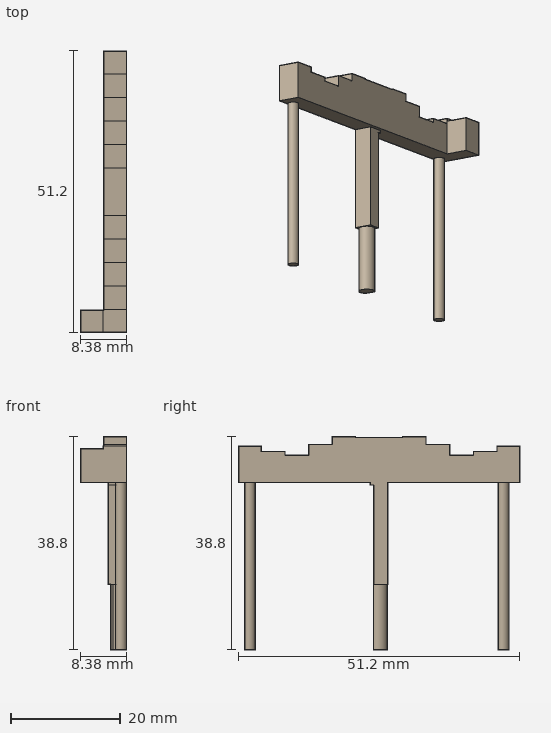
import cadquery as cq
BAR_LENGTH = 51.25
TOTAL_WIDTH = 8.38
TOTAL_HEIGHT = 38.83

BAR_THICKNESS = 4.18
END_LENGTH = 4.18
PITCH_COUNT = 10
STEP_PITCH = (BAR_LENGTH - 2 * END_LENGTH) / PITCH_COUNT
END_HEIGHT = 6.68
SHOULDER_HEIGHT = 5.72
DIP_HEIGHT = 5.0
TIER_HEIGHT = 7.0
PEAK_HEIGHT = 8.38
CREST_HEIGHT = 8.25
SIDE_STEP_HEIGHTS = [SHOULDER_HEIGHT, DIP_HEIGHT, TIER_HEIGHT, PEAK_HEIGHT]
CREST_LENGTH = BAR_LENGTH - 2 * (END_LENGTH + len(SIDE_STEP_HEIGHTS) * STEP_PITCH)
BAR_FRONT_X = TOTAL_WIDTH - BAR_THICKNESS

FOOT_LENGTH = 4.05
FOOT_HEIGHT = 6.2
RISER_THICKNESS = 0.11
RISER_FRONT_X = BAR_FRONT_X - RISER_THICKNESS

TIP_Z = PEAK_HEIGHT - TOTAL_HEIGHT

PIN_DIAMETER = 2.0
PIN_X = TOTAL_WIDTH - PIN_DIAMETER / 2
NEAR_PIN_Y = END_LENGTH / 2
FAR_PIN_INSET = 2.95
FAR_PIN_Y = BAR_LENGTH - FAR_PIN_INSET

POST_SHOULDER_Z = -18.55
POST_WIDTH = 3.38
POST_LENGTH = 2.6
POST_NEAR_Y = 24.63
POST_FRONT_X = TOTAL_WIDTH - POST_WIDTH
LEDGE_LENGTH = 0.63
LEDGE_DEPTH = 0.46
SHANK_RADIUS = 1.47
SHANK_X = TOTAL_WIDTH - SHANK_RADIUS
SHANK_FLAT_OFFSET = 1.1
SHANK_FLAT_OVERHANG = 0.07
SHANK_FLAT_Y = POST_NEAR_Y - SHANK_FLAT_OVERHANG
SHANK_Y = SHANK_FLAT_Y + SHANK_FLAT_OFFSET


def box(x_range, y_range, z_range):
    """Axis-aligned box given as (low, high) limits on each axis."""
    sizes = [high - low for low, high in (x_range, y_range, z_range)]
    corner = (x_range[0], y_range[0], z_range[0])
    return cq.Workplane("XY").box(*sizes, centered=False).translate(corner)


def make_bar():
    """Bar with a symmetric staircase top, extruded across its thickness."""
    side_heights = [END_HEIGHT] + SIDE_STEP_HEIGHTS
    side_lengths = [END_LENGTH] + [STEP_PITCH] * len(SIDE_STEP_HEIGHTS)
    heights = side_heights + [CREST_HEIGHT] + side_heights[::-1]
    lengths = side_lengths + [CREST_LENGTH] + side_lengths[::-1]
    outline = cq.Workplane("YZ", origin=(BAR_FRONT_X, 0, 0)).moveTo(0, 0)
    y = 0
    for length, height in zip(lengths, heights):
        outline = outline.lineTo(y, height)
        y += length
        outline = outline.lineTo(y, height)
    return outline.lineTo(y, 0).close().extrude(BAR_THICKNESS)


def make_foot():
    """Foot block with the thin taller riser that joins it to the bar."""
    block = box((0, BAR_FRONT_X), (0, FOOT_LENGTH), (0, FOOT_HEIGHT))
    riser = box((RISER_FRONT_X, BAR_FRONT_X), (0, FOOT_LENGTH), (0, END_HEIGHT))
    return block.union(riser)


def cylinder(x, y, radius, bottom, top):
    """Vertical cylinder between two levels."""
    return cq.Workplane("XY", origin=(x, y, bottom)).circle(radius).extrude(top - bottom)


def make_pin(y):
    """Round pin hanging from the underside of the bar."""
    return cylinder(PIN_X, y, PIN_DIAMETER / 2, TIP_Z, 0)


def make_post():
    """Rectangular post with a small ledge under the bar and a flatted round shank."""
    x_range = (POST_FRONT_X, TOTAL_WIDTH)
    post = box(x_range, (POST_NEAR_Y, POST_NEAR_Y + POST_LENGTH), (POST_SHOULDER_Z, 0))
    ledge = box(x_range, (POST_NEAR_Y - LEDGE_LENGTH, POST_NEAR_Y), (-LEDGE_DEPTH, 0))
    shank = cylinder(SHANK_X, SHANK_Y, SHANK_RADIUS, TIP_Z, POST_SHOULDER_Z)
    shank_x_range = (SHANK_X - SHANK_RADIUS, SHANK_X + SHANK_RADIUS)
    beyond_flat = box(shank_x_range, (SHANK_Y - SHANK_RADIUS, SHANK_FLAT_Y), (TIP_Z, POST_SHOULDER_Z))
    return post.union(ledge).union(shank.cut(beyond_flat))


result = make_bar().union(make_foot()).union(make_post())
for pin_y in (NEAR_PIN_Y, FAR_PIN_Y):
    result = result.union(make_pin(pin_y))